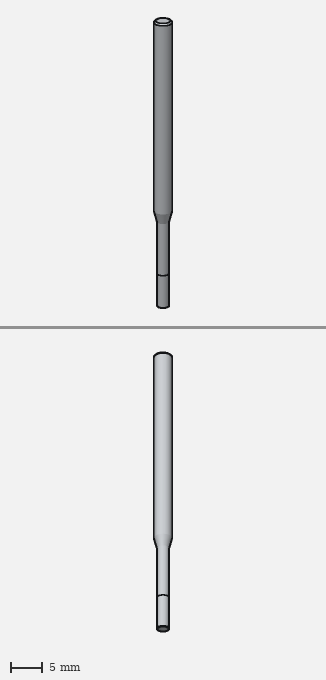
import cadquery as cq
import math

TOTAL_LENGTH = 50.0
SHANK_RADIUS = 3.0 / 2
TOOL_RADIUS = 2.0 / 2
HEAD_LENGTH = 6.0
REACH = 15.0
TAPER_HALF_ANGLE = 15.0
POINT_HEIGHT = 0.3
CORNER_CHAMFER = 0.1
SHANK_CHAMFER = 0.3

TAPER_LENGTH = (SHANK_RADIUS - TOOL_RADIUS) / math.tan(math.radians(TAPER_HALF_ANGLE))
SHANK_START = REACH + TAPER_LENGTH


def revolve_profile(points):
    """Revolve a closed (radius, height) outline about the Z axis."""
    return cq.Workplane("XZ").polyline(points).close().revolve(360, (0, 0, 0), (0, 1, 0))


def make_cutting_head():
    """Cylindrical cutting head with a conical point and chamfered corner."""
    return revolve_profile([
        (0, 0),
        (TOOL_RADIUS - CORNER_CHAMFER, POINT_HEIGHT),
        (TOOL_RADIUS, POINT_HEIGHT + CORNER_CHAMFER),
        (TOOL_RADIUS, HEAD_LENGTH),
        (0, HEAD_LENGTH),
    ])


def make_shank():
    """Neck, taper and shank with a chamfered upper end."""
    return revolve_profile([
        (0, HEAD_LENGTH),
        (TOOL_RADIUS, HEAD_LENGTH),
        (TOOL_RADIUS, REACH),
        (SHANK_RADIUS, SHANK_START),
        (SHANK_RADIUS, TOTAL_LENGTH - SHANK_CHAMFER),
        (SHANK_RADIUS - SHANK_CHAMFER, TOTAL_LENGTH),
        (0, TOTAL_LENGTH),
    ])


cutting_head = make_cutting_head()
shank = make_shank()

result = cq.Compound.makeCompound([cutting_head.val(), shank.val()])